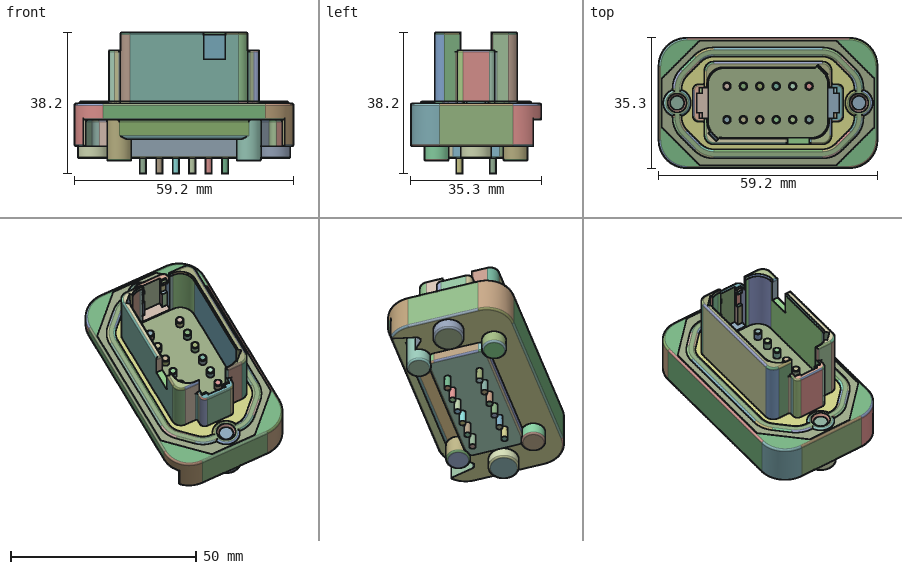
import cadquery as cq
import math


sides = (-1, 1)
overlap = 1.0

flange_length = 59.21
flange_width = 35.26
flange_height = 11.6
flange_corner_radius = 7.7
flange_edge_radius = 0.55
plateau_length = 57.5
plateau_width = 33.6
plateau_diagonal = 35.3
plateau_rise = 0.08

lip_height = 4.45
lip_bottom = flange_height - lip_height
lip_edge_radius = 0.4
cut_depth = 2.15
front_face_y = -13.95
pocket_mouth_x = 26.5
pocket_apex_x = 24.45
pocket_apex_y = -7.0
pocket_apex_radius = 1.2
pocket_roof_radius = 0.5
recess_half_length = 17.5
recess_height = 1.85
recess_edge_radius = 1.1

rib_length = 49.12
rib_width = 27.5
rib_diagonal = 31.0
rib_bend_radius = 6.2
rib_thickness = 2.55
rib_height = 0.55
rib_edge_radius = 0.65
rib_root = 0.2
ring_radius = 3.75
ring_edge_radius = 0.65
dimple_rim_radius = 2.55
dimple_floor_radius = 1.9
dimple_depth = 0.75

shell_length = 34.4
shell_width = 22.4
shell_top = 30.8
shell_corner_radius = 2.55
shell_rim_radius = 0.55
cavity_length = 32.4
cavity_width = 18.8
cavity_corner_radius = 4.3
cavity_rim_drop = 0.65
cavity_rim_widening = 0.3
cavity_floor = flange_height + 0.7
shell_root = flange_height - overlap

lug_length = 40.6
lug_width = 10.1
lug_top = shell_top - 4.8
lug_corner_radius = 1.5
lug_rim_radius = 0.4
lug_blend = 0.5
side_gap_width = 8.25
side_gap_radius = 0.4
lug_slot_length = 38.4
lug_slot_width = 5.25
lug_floor = cavity_floor + 0.5
lug_shoulder_x = 18.6
lug_stop_thickness = 0.8
lug_stop_top = flange_height + 7.9
lug_catch_bottom = flange_height + 12.5
lug_catch_top = lug_top - 0.8

notch_left = 5.3
notch_right = 11.2
notch_floor = flange_height + 11.9
notch_mouth_flare = 0.5

keyway_angle = 45
wide_keyway = 3.65
wide_keyway_reach = 16.86
narrow_keyway = 3.0
narrow_keyway_reach = 17.2
keyway_offset = 4.1
keyway_depth = 4.0
keyway_floor_reach = 16.4

body_length = 36.0
body_width = 16.6
body_bottom = -3.2
body_corner_radius = 2.0
foot_edge_radius = 0.5
post_x = 17.5
post_y = 10.65
post_radius = 3.3
post_bottom = -3.94
boss_x = rib_length / 2
boss_radius = 4.15

pins_per_row = 6
pin_pitch = 4.44
row_spacing = 9.05
pin_radius = 1.05
pin_top = flange_height + 3.0
pin_tip_chamfer = 0.2
tail_radius = 0.88
tail_bottom = -7.35


def box(x0, x1, y0, y1, z0, z1):
    return cq.Workplane("XY").box(x1 - x0, y1 - y0, z1 - z0, centered=False).translate((x0, y0, z0))


def centered_prism(length, width, bottom, top):
    return cq.Workplane("XY").workplane(offset=bottom).rect(length, width).extrude(top - bottom)


def rounded_prism(length, width, radius, bottom, top):
    return centered_prism(length, width, bottom, top).edges("|Z").fillet(radius)


def cylinder(x, y, radius, bottom, top):
    return cq.Workplane("XY").workplane(offset=bottom).center(x, y).circle(radius).extrude(top - bottom)


def octagon_prism(length, width, diagonal, bottom, top):
    """Rectangle with 45 degree corners lying on |x| + |y| = diagonal."""
    half_x = length / 2
    half_y = width / 2
    corner_x = diagonal - half_y
    corner_y = diagonal - half_x
    points = [
        (half_x, -corner_y), (half_x, corner_y), (corner_x, half_y), (-corner_x, half_y),
        (-half_x, corner_y), (-half_x, -corner_y), (-corner_x, -half_y), (corner_x, -half_y),
    ]
    return cq.Workplane("XY").workplane(offset=bottom).polyline(points).close().extrude(top - bottom)


def make_flange():
    flange = rounded_prism(flange_length, flange_width, flange_corner_radius, 0, flange_height)
    flange = flange.faces(">Z or <Z").edges().fillet(flange_edge_radius)
    plateau_top = flange_height + plateau_rise
    plateau = octagon_prism(plateau_length, plateau_width, plateau_diagonal,
                            flange_height - flange_edge_radius, plateau_top)
    return flange.union(plateau)


def cut_front(flange):
    """Leave a lip along the front, with a V pocket behind it outside each front post."""
    cut_face_y = -flange_width / 2 + cut_depth
    half_outline = [
        (pocket_mouth_x, -flange_width),
        (pocket_mouth_x, cut_face_y),
        (pocket_apex_x, pocket_apex_y),
        (post_x + post_radius, -post_y),
        (post_x, -post_y),
        (post_x, front_face_y),
    ]
    outline = half_outline + [(-x, y) for x, y in reversed(half_outline)]
    pocket = cq.Workplane("XY").polyline(outline).close().extrude(lip_bottom + overlap)
    pocket = pocket.translate((0, 0, -overlap))
    for side in sides:
        apex = cq.selectors.NearestToPointSelector((side * pocket_apex_x, pocket_apex_y, lip_bottom / 2))
        pocket = pocket.edges(apex).fillet(pocket_apex_radius)
    pocket = pocket.faces(">Z").edges().fillet(pocket_roof_radius)
    front = box(-flange_length, flange_length, -flange_width, cut_face_y, -overlap, lip_bottom)
    flange = flange.cut(pocket.union(front))
    lip_edge = cq.selectors.NearestToPointSelector((0, -flange_width / 2, lip_bottom))
    return flange.edges(lip_edge).fillet(lip_edge_radius)


def make_front_recess():
    """Undercut below the front face, rounded at its upper front edge."""
    back_y = -body_width / 2 + body_corner_radius
    profile = (
        cq.Workplane("YZ").workplane(offset=-recess_half_length)
        .moveTo(back_y, -overlap)
        .lineTo(back_y, recess_height)
        .lineTo(front_face_y + recess_edge_radius, recess_height)
        .radiusArc((front_face_y, recess_height + recess_edge_radius), recess_edge_radius)
        .lineTo(-flange_width / 2, recess_height + recess_edge_radius)
        .lineTo(-flange_width / 2, -overlap)
        .close()
    )
    return profile.extrude(2 * recess_half_length)


def make_seal_rib():
    base = flange_height - rib_root
    top = flange_height + rib_height
    half = rib_thickness / 2
    diagonal_shift = half * math.sqrt(2)

    def loop(offset, diagonal_offset):
        prism = octagon_prism(rib_length + 2 * offset, rib_width + 2 * offset,
                              rib_diagonal + diagonal_offset, base, top)
        return prism.edges("|Z").fillet(rib_bend_radius + offset)

    rib = loop(half, diagonal_shift).cut(loop(-half, -diagonal_shift))
    return rib.faces(">Z").edges().fillet(rib_edge_radius)


def make_screw_ring(x):
    ring = cylinder(x, 0, ring_radius, flange_height - rib_root, flange_height + rib_height)
    return ring.faces(">Z").edges().fillet(ring_edge_radius)


def make_ring_dimple(x):
    """Blind conical recess in the middle of a screw ring."""
    top = flange_height + rib_height
    rim = cq.Workplane("XY").workplane(offset=top).center(x, 0).circle(dimple_rim_radius)
    return rim.workplane(offset=-dimple_depth).circle(dimple_floor_radius).loft(ruled=True)


def make_shell():
    """Hollow rectangular shell, open at the top, with its inner rim widened."""
    shell = rounded_prism(shell_length, shell_width, shell_corner_radius, shell_root, shell_top)
    shell = shell.faces(">Z").edges().fillet(shell_rim_radius)
    shell = shell.cut(make_cavity())
    rim = shell.faces(">Z").val().innerWires()[0]
    return shell.newObject(rim.Edges()).chamfer(cavity_rim_widening, cavity_rim_drop)


def corner_spandrel(x, y, radius, toward_x, toward_y, bottom, top):
    """Sliver between a right-angled corner at (x, y) and the arc that rounds it."""
    outline = (
        cq.Workplane("XY").workplane(offset=bottom)
        .moveTo(x, y)
        .lineTo(x + toward_x * radius, y)
        .radiusArc((x, y + toward_y * radius), toward_x * toward_y * radius)
        .close()
    )
    return outline.extrude(top - bottom)


def make_lugs():
    """Block running through the shell ends, with concave blends to the shell sides."""
    lugs = rounded_prism(lug_length, lug_width, lug_corner_radius, shell_root, lug_top)
    lugs = lugs.faces(">Z").edges().fillet(lug_rim_radius)
    lugs = lugs.cut(make_cavity())
    for side_x in sides:
        for side_y in sides:
            x = side_x * shell_length / 2
            y = side_y * lug_width / 2
            blend = corner_spandrel(x, y, lug_blend, side_x, side_y, shell_root, lug_top - lug_rim_radius)
            lugs = lugs.union(blend)
    return lugs


def make_keyway(width, reach, angle):
    """Slot whose back wall leans outward toward the rim."""
    profile = (
        cq.Workplane("XZ").workplane(offset=keyway_offset - width / 2)
        .moveTo(reach - keyway_depth, cavity_floor)
        .lineTo(keyway_floor_reach, cavity_floor)
        .lineTo(reach, shell_top)
        .lineTo(reach - keyway_depth, shell_top)
        .close()
    )
    return profile.extrude(width).rotate((0, 0, 0), (0, 0, 1), angle)


def make_cavity():
    return rounded_prism(cavity_length, cavity_width, cavity_corner_radius, cavity_floor, shell_top)


def make_lug_opening():
    """Latch space through both lugs and the shell sides, less the stops and catches."""
    opening = centered_prism(2 * lug_shoulder_x, side_gap_width, lug_floor, lug_top)
    opening = opening.union(centered_prism(lug_slot_length, lug_slot_width, lug_floor, lug_top))
    opening = opening.union(centered_prism(lug_length, side_gap_width, lug_top, shell_top))
    for side_x in sides:
        for side_y in sides:
            x = side_x * shell_length / 2
            y = side_y * side_gap_width / 2
            rounding = corner_spandrel(x, y, side_gap_radius, -side_x, side_y, lug_top, shell_top)
            opening = opening.union(rounding)
    stop_inner_x = lug_shoulder_x - lug_stop_thickness
    stop_width = (side_gap_width - lug_slot_width) / 2
    stop_heights = ((lug_floor, lug_stop_top), (lug_catch_bottom, lug_catch_top))
    for bottom, top in stop_heights:
        for side_x in sides:
            for side_y in sides:
                stop = centered_prism(lug_stop_thickness, stop_width, bottom, top)
                x = side_x * (stop_inner_x + lug_stop_thickness / 2)
                y = side_y * (lug_slot_width + stop_width) / 2
                opening = opening.cut(stop.translate((x, y, 0)))
    return opening


def make_notch():
    """Front wall notch, flared where it meets the rim."""
    profile = (
        cq.Workplane("XZ").workplane(offset=cavity_width / 2 - overlap)
        .moveTo(notch_left, notch_floor)
        .lineTo(notch_right, notch_floor)
        .lineTo(notch_right, shell_top - notch_mouth_flare)
        .radiusArc((notch_right + notch_mouth_flare, shell_top), notch_mouth_flare)
        .lineTo(notch_left - notch_mouth_flare, shell_top)
        .radiusArc((notch_left, shell_top - notch_mouth_flare), notch_mouth_flare)
        .close()
    )
    return profile.extrude(shell_width)


def make_feet():
    """Body, corner posts and end bosses standing below the flange."""
    inside = lip_bottom + overlap
    body = rounded_prism(body_length, body_width, body_corner_radius, body_bottom, inside)
    feet = body.faces("<Z").edges().fillet(foot_edge_radius)
    for side_x in sides:
        boss = cylinder(side_x * boss_x, 0, boss_radius, body_bottom, inside)
        feet = feet.union(boss.faces("<Z").edges().fillet(foot_edge_radius))
        for side_y in sides:
            post = cylinder(side_x * post_x, side_y * post_y, post_radius, post_bottom, inside)
            feet = feet.union(post.faces("<Z").edges().fillet(foot_edge_radius))
    return feet


def make_pin(x, y):
    pin = cylinder(x, y, pin_radius, shell_root, pin_top)
    pin = pin.faces(">Z").edges().chamfer(pin_tip_chamfer)
    return pin.union(cylinder(x, y, tail_radius, tail_bottom, cavity_floor))


part = cut_front(make_flange())
part = part.cut(make_front_recess())
part = part.union(make_feet())
part = part.union(make_seal_rib())
for ring_x in (-boss_x, boss_x):
    part = part.union(make_screw_ring(ring_x))
    part = part.cut(make_ring_dimple(ring_x))
part = part.cut(make_cavity())
part = part.union(make_shell())
part = part.union(make_lugs())
part = part.cut(make_keyway(wide_keyway, wide_keyway_reach, keyway_angle))
part = part.cut(make_keyway(narrow_keyway, narrow_keyway_reach, keyway_angle + 180))
part = part.cut(make_lug_opening())
part = part.cut(make_notch())
for column in range(pins_per_row):
    column_x = (column - (pins_per_row - 1) / 2) * pin_pitch
    for row_y in (-row_spacing / 2, row_spacing / 2):
        part = part.union(make_pin(column_x, row_y))

result = part